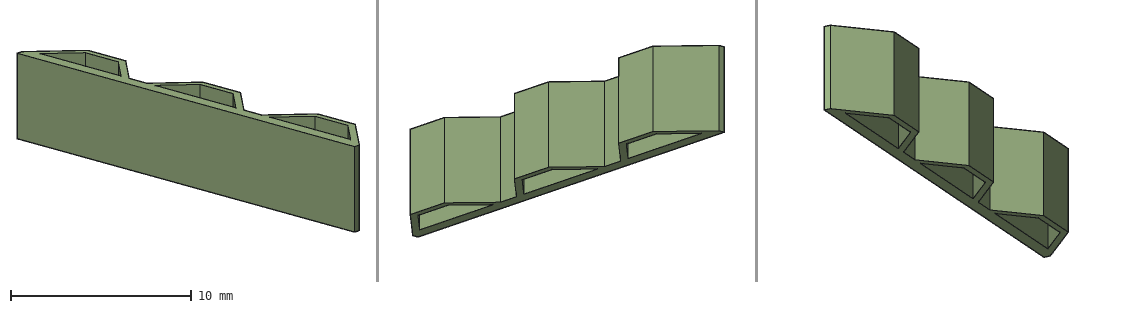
import cadquery as cq
import math

length = 25.0
depth = 3.0
height = 5.0

base_thickness = 0.8
wall = 0.42
rib_count = 3
rib_pitch = 8.5
crest_width = 2.8
flank_angle = 45.0

flank_run = 1 / math.tan(math.radians(flank_angle))
rib_centres = [(i - (rib_count - 1) / 2) * rib_pitch for i in range(rib_count)]


def trapezoid(centre, top_width, top, bottom):
    """Full-height prism whose section narrows along the flanks from bottom to top."""
    half_top = top_width / 2
    half_bottom = half_top + (top - bottom) * flank_run
    return (
        cq.Workplane("XY")
        .polyline([
            (centre - half_bottom, bottom),
            (centre + half_bottom, bottom),
            (centre + half_top, top),
            (centre - half_top, top),
        ])
        .close()
        .extrude(height)
    )


def plate(thickness):
    """Full-length rectangular strip with its back face on Y = 0."""
    return cq.Workplane("XY").box(length, thickness, height, centered=(True, False, False))


outer_crest_width = (rib_count - 1) * rib_pitch + crest_width
body = plate(base_thickness).intersect(trapezoid(0, outer_crest_width, depth, 0))
for centre in rib_centres:
    body = body.union(trapezoid(centre, crest_width, depth, 0))
body = body.intersect(plate(depth))

cavity_crest_width = crest_width - 2 * wall * math.tan(math.radians(flank_angle / 2))
for centre in rib_centres:
    body = body.cut(trapezoid(centre, cavity_crest_width, depth - wall, base_thickness))

result = body